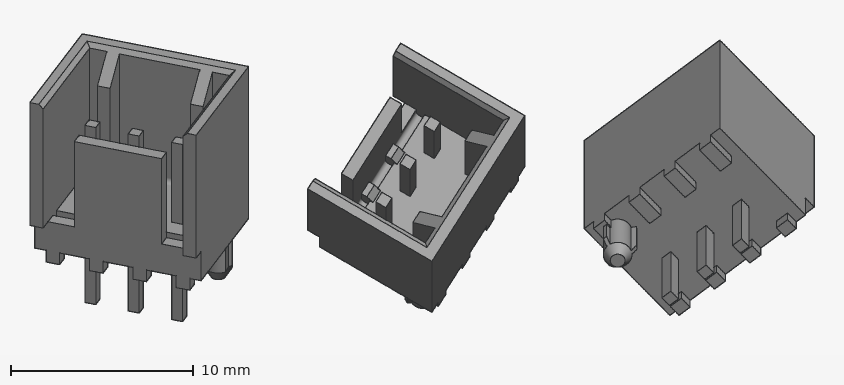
import cadquery as cq


pitch = 2.54
pin_count = 3
pin_side = 0.64
pin_top = 6.9
pin_bottom = -4.33

width = 9.75
depth = 7.95
height = 9.64
back_y = 4.5
front_y = back_y - depth
floor_z = 1.85
wall = 0.78
back_wall = 0.9
lead_in = 0.25
rim_angle = 45
floor_fillet = 0.28
cavity_width = width - 2 * wall
cavity_back_y = back_y - back_wall

tongue_width = 5.11
tongue_thickness = 0.74
tongue_top = 7.25
base_setback = 0.74
base_front_y = front_y + base_setback
tongue_back_y = base_front_y + tongue_thickness

groove_width = 0.55
groove_depth = 0.8
gusset_flat = 0.35
gusset_length = 0.74

rib_width = 0.74
rib_centre_x = 2.72
rib_front_y = 2.2

foot_width = 0.8
foot_height = 0.74
back_foot_length = 1.76

peg_x = 3.6
peg_y = 3.17
peg_radius = 0.78
peg_length = 3.19
peg_tip_radius = 0.4
peg_taper = 0.59
fin_count = 3
fin_radius = 1.06
fin_thickness = 0.24


def block(x_range, y_range, z_range):
    """Axis-aligned box between the given limits."""
    size = [high - low for low, high in (x_range, y_range, z_range)]
    corner = (x_range[0], y_range[0], z_range[0])
    return cq.Workplane("XY").box(*size, centered=False).translate(corner)


def centred_block(centre_x, block_width, y_range, z_range):
    """Box centred on centre_x across the width."""
    x_range = (centre_x - block_width / 2, centre_x + block_width / 2)
    return block(x_range, y_range, z_range)


def side_profile(points, centre_x, extrude_width):
    """Prism across X from an outline of (y, z) points."""
    start = centre_x - extrude_width / 2
    return cq.Workplane("YZ", origin=(start, 0, 0)).polyline(points).close().extrude(extrude_width)


def spaced(count):
    """X positions of count items one pitch apart, centred on X = 0."""
    return [(i - (count - 1) / 2) * pitch for i in range(count)]


def make_shroud():
    """Base and three walls: open front, rounded back floor edge, chamfered rim."""
    shell = centred_block(0, width, (front_y, back_y), (0, height))
    shell = shell.cut(centred_block(0, width, (front_y, base_front_y), (0, floor_z)))
    cavity = centred_block(0, cavity_width, (front_y, cavity_back_y), (floor_z, height))
    cavity = cavity.edges("|X and >Y and <Z").fillet(floor_fillet)
    rim = (
        cq.Workplane("XY", origin=(0, 0, height))
        .center(0, (front_y + cavity_back_y) / 2)
        .rect(cavity_width + 2 * lead_in, cavity_back_y - front_y + 2 * lead_in)
        .extrude(-lead_in, taper=rim_angle)
    )
    rim = rim.union(rim.translate((0, -2 * lead_in, 0)))
    return shell.cut(cavity).cut(rim)


def make_groove():
    """Cutter for the groove, rounded where its bottom meets the tongue side."""
    y_range = (tongue_back_y, tongue_back_y + groove_width)
    groove = centred_block(0, cavity_width, y_range, (floor_z - groove_depth, floor_z))
    return groove.edges("|X and <Y and <Z").fillet(floor_fillet)


def make_gusset(centre_x):
    """Support across the groove behind the tongue, sloping down to the floor at 45 degrees."""
    top_z = floor_z + gusset_length - gusset_flat
    bottom_z = floor_z - groove_depth
    end_y = tongue_back_y + gusset_length
    points = [
        (tongue_back_y, bottom_z),
        (tongue_back_y, top_z),
        (tongue_back_y + gusset_flat, top_z),
        (end_y, floor_z),
        (end_y, bottom_z),
    ]
    return side_profile(points, centre_x, foot_width)


def make_rib(centre_x):
    """Guide rib whose 45 degree top continues the rim chamfer."""
    rib_top = height - lead_in
    root_y = back_y - back_wall / 2
    points = [
        (root_y, floor_z),
        (root_y, rib_top),
        (cavity_back_y, rib_top),
        (rib_front_y, rib_top - (cavity_back_y - rib_front_y)),
        (rib_front_y, floor_z),
    ]
    return side_profile(points, centre_x, rib_width)


def make_peg():
    """Round peg with radial fins, all trimmed by one conical tip."""
    peg = cq.Workplane("XY").circle(peg_radius).extrude(-peg_length)
    for i in range(fin_count):
        fin = block((0, fin_radius), (-fin_thickness / 2, fin_thickness / 2), (-peg_length, 0))
        peg = peg.union(fin.rotate((0, 0, 0), (0, 0, 1), 90 + i * 360 / fin_count))
    cone_top_radius = peg_tip_radius + peg_taper * peg_length
    cone = cq.Solid.makeCone(cone_top_radius, peg_tip_radius, peg_length, dir=cq.Vector(0, 0, -1))
    return peg.intersect(cq.Workplane(cone)).translate((peg_x, peg_y, 0))


result = make_shroud().cut(make_groove())
result = result.union(centred_block(0, tongue_width, (base_front_y, tongue_back_y), (0, tongue_top)))

for x in (-rib_centre_x, rib_centre_x):
    result = result.union(make_rib(x))

for x in spaced(pin_count - 1):
    result = result.union(make_gusset(x))

for x in spaced(pin_count + 1):
    front_range = (base_front_y, tongue_back_y)
    back_range = (back_y - back_foot_length, back_y)
    for y_range in (front_range, back_range):
        result = result.union(centred_block(x, foot_width, y_range, (-foot_height, 0)))

for x in spaced(pin_count):
    pin_range = (-pin_side / 2, pin_side / 2)
    result = result.union(centred_block(x, pin_side, pin_range, (pin_bottom, pin_top)))

result = result.union(make_peg())